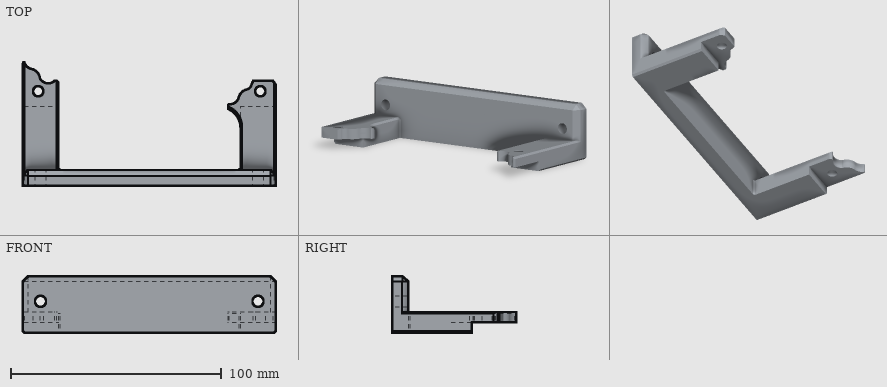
import cadquery as cq
import math

width = 120.29
depth = 58.9
height = 27.0

plate_thickness = 7.66
slab_thickness = 4.75
back_taper = plate_thickness - slab_thickness
back_inset = 2.5
top_corner_chamfer = 2.6
plate_hole_diameter = 5.2
plate_hole_inset = 8.5
plate_hole_height = 15.0

arm_top = 10.0
step_height = 5.0
step_y = 37.8
edge_chamfer = 0.9
arm_hole_diameter = 4.8
arm_hole_inset = 7.4
arm_hole_y = 45.0
arm_end_y = 50.0
left_arm_width = 17.05
right_arm_width = 16.9
right_arm_inner_x = width - right_arm_width
corner_gusset = 0.7

hook_tip_x = 97.45
hook_tip_y = 36.7
hook_arc_start_y = 27.8
hook_back_y = 38.95
hook_back_chamfer = 0.6

left_scallop_start = (15.2, arm_end_y)
left_scallops = [
    ((11.9, 48.8), (8.3, 51.0)),
    ((7.0, 54.0), (3.9, 55.7)),
    ((2.0, 56.8), (0.8, depth)),
]
right_flat_end = (109.5, arm_end_y)
right_scallop_start = (108.7, 48.3)
right_scallops = [
    ((107.9, 46.7), (106.1, 45.8)),
    ((103.7, 44.2), (102.5, 41.8)),
    ((101.0, 39.7), (hook_tip_x + hook_back_chamfer, hook_back_y)),
]

tip_corner_x = 0.3

end_corner_x = 1.4
end_corner_y = 2.0


def make_plate():
    """Slab with corner chamfers and a back face inset at the top and the sides."""
    plan = (
        cq.Workplane("XY")
        .polyline([
            (0, 0),
            (width, 0),
            (width, slab_thickness),
            (width - back_inset, plate_thickness),
            (back_inset, plate_thickness),
            (0, slab_thickness),
        ])
        .close()
        .extrude(height)
    )
    side = (
        cq.Workplane("YZ")
        .polyline([
            (0, 0),
            (plate_thickness, 0),
            (plate_thickness, height - back_inset),
            (slab_thickness, height),
            (0, height),
        ])
        .close()
        .extrude(width)
    )
    plate = plan.intersect(side)
    for corner_x, outward in ((back_inset, -1), (width - back_inset, 1)):
        facet = cq.Plane(
            origin=(corner_x, plate_thickness, height - back_inset),
            xDir=(1, 0, -outward),
            normal=(outward, back_inset / back_taper, 1),
        )
        plate = plate.cut(cq.Workplane(facet).rect(height, height).extrude(height))
    return plate


def chamfer_top_edges(arm, points):
    """Chamfer the top edges of an arm that lie nearest to the given plan points."""
    for x, y in points:
        nearest = cq.selectors.NearestToPointSelector((x, y, arm_top))
        arm = arm.faces(">Z").edges(nearest).chamfer(edge_chamfer)
    return arm


def add_scallops(outline, arcs):
    """Continue an outline through a run of three-point arcs."""
    for middle, end in arcs:
        outline = outline.threePointArc(middle, end)
    return outline


def make_left_arm():
    """Straight arm whose end is a run of scallops rising to the outer side."""
    outline = (
        cq.Workplane("XY")
        .lineTo(left_arm_width, 0)
        .lineTo(left_arm_width, arm_end_y - edge_chamfer)
        .lineTo(left_arm_width - edge_chamfer, arm_end_y)
        .lineTo(*left_scallop_start)
    )
    outline = (
        add_scallops(outline, left_scallops)
        .lineTo(tip_corner_x, depth)
        .lineTo(0, depth - edge_chamfer)
        .close()
    )
    middle_y = depth / 2
    arm = outline.extrude(arm_top)
    return chamfer_top_edges(arm, [(0, middle_y), (left_arm_width, middle_y)])


def make_right_arm():
    """Arm with a thin hook on its inner side and scallops from its end to the hook."""
    reach = right_arm_inner_x - hook_tip_x
    rise = hook_tip_y - hook_arc_start_y
    radius = (reach**2 + rise**2) / (2 * reach)
    half_angle = math.atan2(rise, radius - reach) / 2
    hook_arc_middle = (
        right_arm_inner_x - radius * (1 - math.cos(half_angle)),
        hook_arc_start_y + radius * math.sin(half_angle),
    )
    outline = (
        cq.Workplane("XY")
        .moveTo(width, 0)
        .lineTo(width, arm_end_y - end_corner_y)
        .lineTo(width - end_corner_x, arm_end_y)
        .lineTo(*right_flat_end)
        .lineTo(*right_scallop_start)
    )
    outline = (
        add_scallops(outline, right_scallops)
        .lineTo(hook_tip_x, hook_back_y - hook_back_chamfer)
        .lineTo(hook_tip_x, hook_tip_y)
        .threePointArc(hook_arc_middle, (right_arm_inner_x, hook_arc_start_y))
        .lineTo(right_arm_inner_x, 0)
        .close()
    )
    arm = outline.extrude(arm_top)
    arm = chamfer_top_edges(arm, [(width, depth / 2)])
    inner_edges = arm.faces(">Z").edges(
        cq.selectors.BoxSelector(
            (hook_tip_x, 0, arm_top - edge_chamfer),
            (right_arm_inner_x + edge_chamfer, hook_tip_y - edge_chamfer, arm_top + edge_chamfer),
        )
    )
    arm = inner_edges.chamfer(edge_chamfer)
    below_hook = cq.Workplane("XY").box(right_arm_inner_x, depth, step_height, centered=False)
    return arm.cut(below_hook)


def make_gusset(corner_x, direction):
    """Small triangular fill where an arm meets the back of the plate."""
    return (
        cq.Workplane("XY")
        .polyline([
            (corner_x, plate_thickness),
            (corner_x + direction * corner_gusset, plate_thickness),
            (corner_x, plate_thickness + corner_gusset),
        ])
        .close()
        .extrude(arm_top - edge_chamfer)
    )


def make_envelope():
    """Front outline of the whole part, swept along its depth."""
    return (
        cq.Workplane("XZ")
        .polyline([
            (edge_chamfer, 0),
            (width - edge_chamfer, 0),
            (width, edge_chamfer),
            (width, height - top_corner_chamfer),
            (width - top_corner_chamfer, height),
            (top_corner_chamfer, height),
            (0, height - top_corner_chamfer),
            (0, edge_chamfer),
        ])
        .close()
        .extrude(-depth)
    )


def make_step():
    """Material removed below the thin outer ends of both arms."""
    step = cq.Workplane("XY").box(width, depth, step_height, centered=False)
    return step.translate((0, step_y, 0))


def make_holes():
    """Screw holes through the arms and through the plate."""
    arm_holes = (
        cq.Workplane("XY")
        .pushPoints([(arm_hole_inset, arm_hole_y), (width - arm_hole_inset, arm_hole_y)])
        .circle(arm_hole_diameter / 2)
        .extrude(arm_top)
    )
    plate_holes = (
        cq.Workplane("XZ")
        .pushPoints([(plate_hole_inset, plate_hole_height), (width - plate_hole_inset, plate_hole_height)])
        .circle(plate_hole_diameter / 2)
        .extrude(-plate_thickness)
    )
    return arm_holes.union(plate_holes)


result = (
    make_plate()
    .union(make_left_arm())
    .union(make_right_arm())
    .union(make_gusset(left_arm_width, 1))
    .union(make_gusset(right_arm_inner_x, -1))
    .intersect(make_envelope())
    .cut(make_step())
    .cut(make_holes())
)